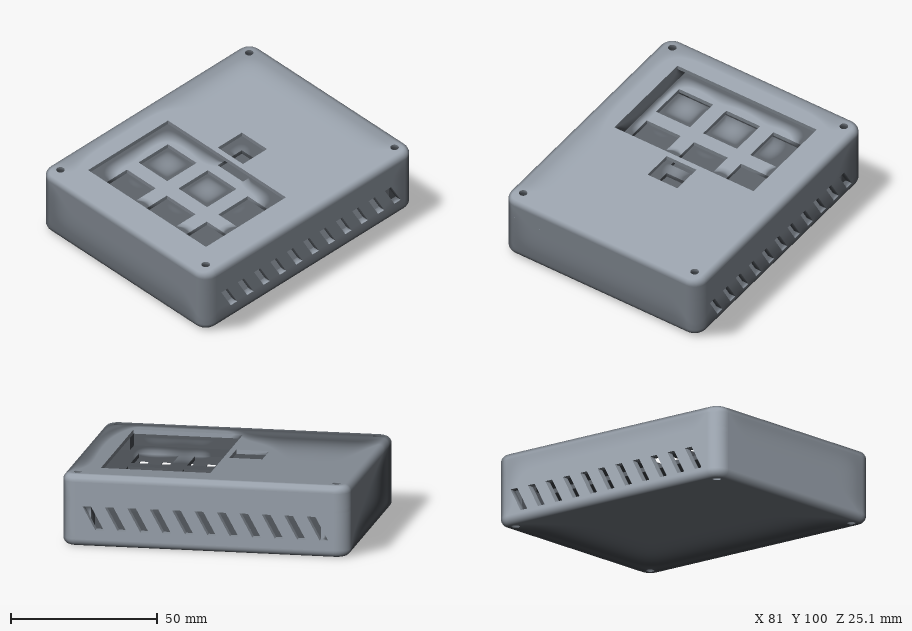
import cadquery as cq

width = 81
length = 100
corner_radius = 5
rim_fillet = 2.5
wall = 2.5
floor_thickness = 2.5
lid_thickness = 1.5

plate_bottom = 15.8
plate_thickness = 1.5
plate_top = plate_bottom + plate_thickness
lid_top = 25.1
lid_ceiling = lid_top - lid_thickness

screw_diameter = 2.9
post_side = 2 * corner_radius
screw_points = [
    (side_x * (width / 2 - corner_radius), side_y * (length / 2 - corner_radius))
    for side_x in (-1, 1)
    for side_y in (-1, 1)
]

key_side = 14
key_pitch = 19.5
key_columns = 3
key_rows = 2
key_field_y = -19.3
key_margin = 2.3
opening_width = (key_columns - 1) * key_pitch + key_side + 2 * key_margin
opening_length = (key_rows - 1) * key_pitch + key_side + 2 * key_margin
rib_thickness = 2
rib_depth = 5

window_width = 12.3
window_length = 11.5
window_x = -0.4
window_y = 7.5

vent_count = 11
vent_pitch = 7.8
vent_width = 3
vent_height = 8.2
vent_lean = 4.5
vent_row_y = 0.3
left_vent_bottom = 3.5
right_vent_bottom = 6

board_width = 60
board_length = 77.4
board_thickness = 1.6
board_below_plate_top = 5


def slab(bottom, top, inset=0.0):
    """Block with the enclosure's rounded outline, moved inward by inset."""
    return (
        cq.Workplane("XY", origin=(0, 0, bottom))
        .rect(width - 2 * inset, length - 2 * inset)
        .extrude(top - bottom)
        .edges("|Z")
        .fillet(corner_radius - inset)
    )


def cavity(bottom, top):
    """Space between the side walls, less a square post in each corner."""
    posts = (
        cq.Workplane("XY", origin=(0, 0, bottom))
        .pushPoints(screw_points)
        .rect(post_side, post_side)
        .extrude(top - bottom)
    )
    return slab(bottom, top, wall).cut(posts)


def screw_holes():
    return cq.Workplane("XY").pushPoints(screw_points).circle(screw_diameter / 2).extrude(lid_top)


def window_cut():
    return (
        cq.Workplane("XY", origin=(window_x, window_y, plate_bottom))
        .rect(window_width, window_length)
        .extrude(lid_top - plate_bottom)
    )


def vent_row(wall_center_x, bottom, lean):
    """Row of slanted slots through one side wall; lean is the Y shift from bottom to top."""
    slots = cq.Workplane("YZ", origin=(wall_center_x - wall / 2, vent_row_y, bottom))
    for index in range(vent_count):
        center_y = (index - (vent_count - 1) / 2) * vent_pitch
        bottom_start = center_y - (vent_width + lean) / 2
        slots = (
            slots.moveTo(bottom_start, 0)
            .line(vent_width, 0)
            .line(lean, vent_height)
            .line(-vent_width, 0)
            .close()
        )
    return slots.extrude(wall)


def make_base():
    base = slab(0, plate_bottom).faces("<Z").edges().fillet(rim_fillet)
    base = base.cut(cavity(floor_thickness, plate_bottom)).cut(screw_holes())
    wall_center_x = (width - wall) / 2
    base = base.cut(vent_row(-wall_center_x, left_vent_bottom, vent_lean))
    return base.cut(vent_row(wall_center_x, right_vent_bottom, -vent_lean))


def make_plate():
    keys = (
        cq.Workplane("XY", origin=(0, key_field_y, plate_bottom))
        .rarray(key_pitch, key_pitch, key_columns, key_rows)
        .rect(key_side, key_side)
        .extrude(plate_thickness)
    )
    return slab(plate_bottom, plate_top).cut(keys).cut(window_cut()).cut(screw_holes())


def make_lid():
    lid = slab(plate_top, lid_top).faces(">Z").edges().fillet(rim_fillet)
    lid = lid.cut(cavity(plate_top, lid_ceiling)).cut(screw_holes()).cut(window_cut())
    opening = (
        cq.Workplane("XY", origin=(0, key_field_y, lid_ceiling))
        .rect(opening_width, opening_length)
        .extrude(lid_thickness)
    )
    rib = (
        cq.Workplane("XY", origin=((opening_width + rib_thickness) / 2, 0, lid_ceiling))
        .rect(rib_thickness, length - 2 * wall)
        .extrude(-rib_depth)
    )
    return lid.cut(opening).union(rib)


def make_board():
    board_top = plate_top - board_below_plate_top
    return (
        cq.Workplane("XY", origin=(0, 0, board_top))
        .rect(board_width, board_length)
        .extrude(-board_thickness)
    )


base = make_base()
board = make_board()
plate = make_plate()
lid = make_lid()

result = cq.Compound.makeCompound([base.val(), board.val(), plate.val(), lid.val()])